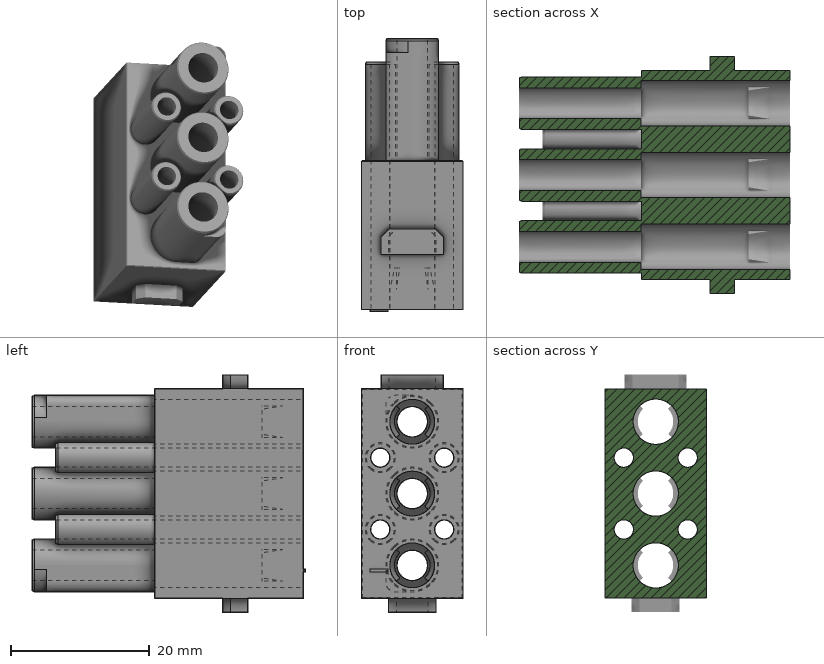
import cadquery as cq

block_width = 14.6
block_depth = 21.45
block_height = 30.2
block_back_chamfer = 0.1

overall_height = 34.2
tab_height = (overall_height - block_height) / 2
top_tab_width = 8.95
bottom_tab_width = 6.88
tab_front = 7.98
tab_back = 11.65
tab_chamfer = 1.15

index_bar_height = 0.28
index_bar_length = 2.6
index_bar_width = 0.4
index_bar_x = -4.75
index_bar_z = -11.1

overall_depth = 39.3
pitch = 10.35
power_radius = 3.8
power_end = overall_depth - index_bar_height
power_hole_diameter = 4.35
power_bore_diameter = 6.45
power_bore_depth = block_depth

key_corner_radius = 1.4
key_setback = 2.05
key_strip_width = 0.6

ramp_start = 3.0
ramp_length = 3.0
ramp_tip_radius = 2.55
ramp_angle = 90.0

signal_x = 4.6
signal_z = pitch / 2
signal_radius = 2.15
signal_length = 14.2
signal_end = block_depth + signal_length
signal_hole_diameter = 2.7

tip_chamfer_length = 0.35
tip_chamfer_inset = 0.15


def box(x_range, y_range, z_range):
    """Box spanning the given (low, high) ranges."""
    ranges = (x_range, y_range, z_range)
    sizes = [high - low for low, high in ranges]
    lows = tuple(low for low, high in ranges)
    return cq.Workplane("XY").box(*sizes, centered=False).translate(lows)


def rod(x, z, radius, y_start, y_end):
    """Cylinder along Y."""
    length = y_end - y_start
    return cq.Workplane("XY").add(
        cq.Solid.makeCylinder(radius, length, cq.Vector(x, y_start, z), cq.Vector(0, 1, 0))
    )


def make_block():
    block = box(
        (-block_width / 2, block_width / 2),
        (0, block_depth),
        (-block_height / 2, block_height / 2),
    )
    return block.faces(">Y").edges().chamfer(block_back_chamfer)


def make_tab(width, z_start):
    """Tab with its two rear corners chamfered."""
    tab = box((-width / 2, width / 2), (tab_front, tab_back), (z_start, z_start + tab_height))
    return tab.edges("|Z and >Y").chamfer(tab_chamfer)


def make_tip_cutter(x, z, radius, y_end):
    """Ring that bevels the tip of a pin."""
    y_start = y_end - tip_chamfer_length
    cone = cq.Solid.makeCone(
        radius,
        radius - tip_chamfer_inset,
        tip_chamfer_length,
        cq.Vector(x, y_start, z),
        cq.Vector(0, 1, 0),
    )
    return rod(x, z, 2 * radius, y_start, y_end).cut(cq.Workplane("XY").add(cone))


def make_key(side):
    """Squared quadrant on -X and on the upper (side = 1) or lower (side = -1) half of a pin."""
    z_range = sorted((0, side * power_radius))
    key = box((-power_radius, 0), (block_depth, power_end - key_setback), z_range)
    outer_corner = "|Y and <X and " + (">Z" if side > 0 else "<Z")
    key = key.edges(outer_corner).fillet(key_corner_radius)
    tip_range = (block_depth, power_end)
    flat_across = box((-key_strip_width, 0), tip_range, z_range)
    flat_along = box((-power_radius, 0), tip_range, sorted((0, side * key_strip_width)))
    return key.union(flat_across).union(flat_along)


def make_power_pin(side):
    """Power pin about the Y axis; side = 0 leaves it fully round."""
    pin = rod(0, 0, power_radius, block_depth, power_end)
    if side != 0:
        pin = pin.union(make_key(side))
    return pin.cut(make_tip_cutter(0, 0, power_radius, power_end))


def make_ramps():
    """Pair of ramps on the -X and +X walls of a power bore, narrowing towards the back."""
    bore_radius = power_bore_diameter / 2
    ramp_end = ramp_start + ramp_length
    ramp = (
        cq.Workplane("XY")
        .polyline([(bore_radius, ramp_start), (ramp_tip_radius, ramp_end), (bore_radius, ramp_end)])
        .close()
        .revolve(ramp_angle, (0, 0, 0), (0, 1, 0))
        .rotate((0, 0, 0), (0, 1, 0), -ramp_angle / 2)
    )
    return [ramp, ramp.rotate((0, 0, 0), (0, 1, 0), 180)]


body = make_block()
body = body.union(make_tab(top_tab_width, block_height / 2))
body = body.union(make_tab(bottom_tab_width, -overall_height / 2))
body = body.union(
    box(
        (index_bar_x - index_bar_length / 2, index_bar_x + index_bar_length / 2),
        (-index_bar_height, 0),
        (index_bar_z - index_bar_width / 2, index_bar_z + index_bar_width / 2),
    )
)

for side in (-1, 0, 1):
    z = side * pitch
    body = body.union(make_power_pin(side).translate((0, 0, z)))
    bore = rod(0, z, power_bore_diameter / 2, 0, power_bore_depth)
    for ramp in make_ramps():
        bore = bore.cut(ramp.translate((0, 0, z)))
    body = body.cut(bore).cut(rod(0, z, power_hole_diameter / 2, 0, power_end))

for x in (-signal_x, signal_x):
    for z in (-signal_z, signal_z):
        pin = rod(x, z, signal_radius, block_depth, signal_end)
        pin = pin.cut(make_tip_cutter(x, z, signal_radius, signal_end))
        body = body.union(pin).cut(rod(x, z, signal_hole_diameter / 2, 0, signal_end))

result = body